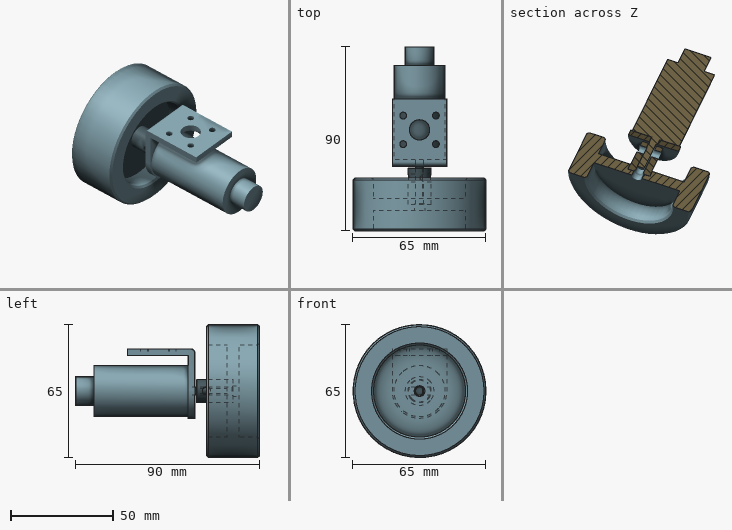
import cadquery as cq


wheel_diameter = 65.0
wheel_width = 26.0
rim_chamfer = 1.0
recess_diameter = 45.0
recess_depth = 10.0
centre_bore_diameter = 5.1

hub_diameter = 11.3
hub_length = 18.0
hub_back_y = 31.0
hub_chamfer = 0.4
hub_bore_chamfer = 0.6
set_screw_diameter = 4.05
set_screw_y = 26.0

bracket_front_y = 31.7
bracket_length = 32.9
bracket_width = 26.6
bracket_thickness = 3.3
bracket_top_z = 20.6
bend_radius = 2.0
centre_hole_diameter = 9.9
screw_hole_diameter = 3.3
screw_spacing_x = 16.0
screw_spacing_y = 13.95
hole_pattern_inset = 15.1

motor_diameter = 25.0
motor_back_y = 81.0
encoder_diameter = 14.0
encoder_back_y = 90.0
shaft_diameter = 4.0
shaft_flat_offset = 1.5
shaft_flat_end_y = 31.4

web_back_y = wheel_width - recess_depth
hub_front_y = hub_back_y - hub_length
bracket_back_y = bracket_front_y + bracket_thickness
mounting_plate_bottom_z = bracket_top_z - bracket_thickness
hole_pattern_y = bracket_front_y + bracket_length - hole_pattern_inset
shaft_front_y = web_back_y


def cylinder(diameter, start_y, end_y):
    """Solid cylinder on the drive axis between two Y positions."""
    axis_start = cq.Plane(origin=(0, start_y, 0), xDir=(1, 0, 0), normal=(0, 1, 0))
    return cq.Workplane(axis_start).circle(diameter / 2).extrude(end_y - start_y)


def make_wheel():
    """Tyre with the same recess in both faces and a web that holds the front end of the hub."""
    wheel = cylinder(wheel_diameter, 0, wheel_width)
    wheel = wheel.cut(cylinder(recess_diameter, 0, recess_depth))
    wheel = wheel.cut(cylinder(recess_diameter, web_back_y, wheel_width))
    wheel = wheel.faces("<Y or >Y").edges().chamfer(rim_chamfer)
    centre_bore = cylinder(centre_bore_diameter, recess_depth, hub_front_y)
    hub_socket = cylinder(hub_diameter, hub_front_y, web_back_y)
    return wheel.cut(centre_bore).cut(hub_socket)


def make_hub():
    """Bored collar between wheel and motor shaft, with a cross hole for set screws."""
    hub = cylinder(hub_diameter, hub_front_y, hub_back_y)
    hub = hub.faces(">Y").edges().chamfer(hub_chamfer)
    hub = hub.cut(cylinder(shaft_diameter, hub_front_y, hub_back_y))
    hub = hub.faces("<Y").edges(cq.selectors.RadiusNthSelector(0)).chamfer(hub_bore_chamfer)
    set_screw_hole = (
        cq.Workplane("YZ", origin=(0, set_screw_y, 0))
        .circle(set_screw_diameter / 2)
        .extrude(hub_diameter / 2, both=True)
    )
    return hub.cut(set_screw_hole)


def make_bracket():
    """L-shaped bracket: an upright plate with a round lower end and a drilled mounting plate."""
    half_width = bracket_width / 2
    upright = (
        cq.Workplane(cq.Plane(origin=(0, bracket_front_y, 0), xDir=(1, 0, 0), normal=(0, -1, 0)))
        .moveTo(-half_width, bracket_top_z)
        .lineTo(-half_width, 0)
        .threePointArc((0, -half_width), (half_width, 0))
        .lineTo(half_width, bracket_top_z)
        .close()
        .extrude(-bracket_thickness)
    )
    mounting_plate = cq.Workplane("XY").box(
        bracket_width, bracket_length, bracket_thickness, centered=(True, False, False)
    ).translate((0, bracket_front_y, mounting_plate_bottom_z))
    bracket = upright.union(mounting_plate)
    bracket = bracket.edges("|X").edges("<Y and >Z").fillet(bend_radius)

    hole_plane = cq.Workplane("XY", origin=(0, hole_pattern_y, mounting_plate_bottom_z))
    centre_hole = hole_plane.circle(centre_hole_diameter / 2).extrude(bracket_thickness)
    screw_holes = (
        hole_plane.rarray(screw_spacing_x, screw_spacing_y, 2, 2)
        .circle(screw_hole_diameter / 2)
        .extrude(bracket_thickness)
    )
    shaft_hole = cylinder(shaft_diameter, bracket_front_y, bracket_back_y)
    return bracket.cut(centre_hole).cut(screw_holes).cut(shaft_hole)


def make_motor():
    """Motor can with a smaller encoder boss at the back and a D-shaped output shaft at the front."""
    can = cylinder(motor_diameter, bracket_back_y, motor_back_y)
    encoder = cylinder(encoder_diameter, motor_back_y, encoder_back_y)
    shaft = cylinder(shaft_diameter, shaft_front_y, bracket_back_y)
    flat_cut = cq.Workplane("XY").box(
        shaft_diameter, shaft_flat_end_y - shaft_front_y, shaft_diameter, centered=(False, False, True)
    ).translate((shaft_flat_offset, shaft_front_y, 0))
    return can.union(encoder).union(shaft.cut(flat_cut))


wheel = make_wheel()
hub = make_hub()
bracket = make_bracket()
motor = make_motor()

result = cq.Compound.makeCompound([wheel.val(), hub.val(), bracket.val(), motor.val()])